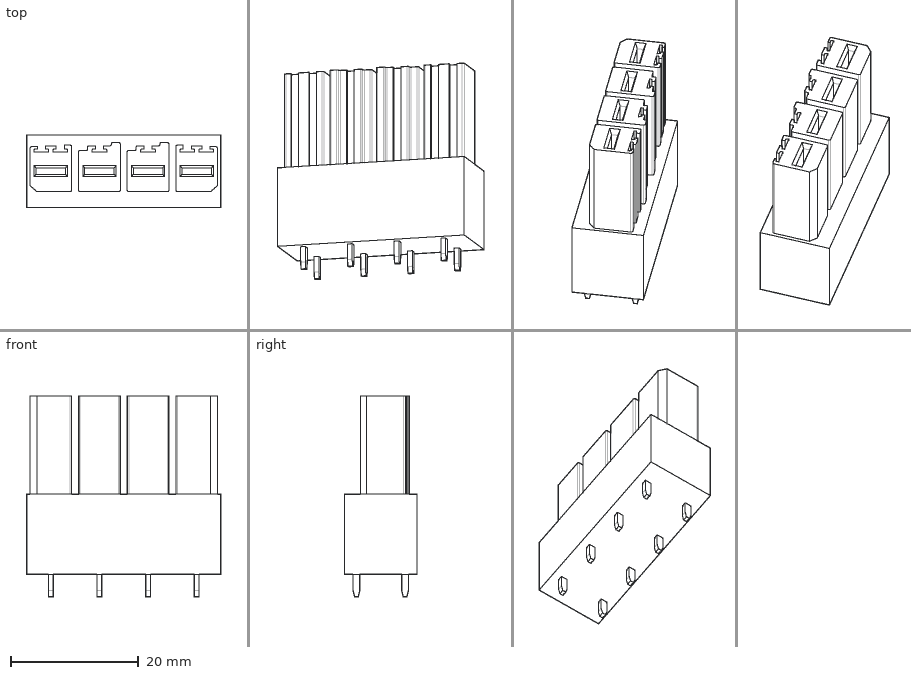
import cadquery as cq

POLE_COUNT = 4
PITCH = 7.62
BASE_LENGTH = 30.5
BASE_DEPTH = 11.4
BASE_HEIGHT = 12.6
TOTAL_HEIGHT = 31.5
PIN_LENGTH = 3.5
TOWER_HEIGHT = TOTAL_HEIGHT - BASE_HEIGHT - PIN_LENGTH

TOWER_WIDTH = 6.55
TOWER_HALF = TOWER_WIDTH / 2
TOWER_FRONT_Y = -3.18
CORNER_RADIUS = 0.25
END_OUTER_RADIUS = 0.35
STEP_RADIUS = 0.22
END_CHAMFER_X = 1.1
END_CHAMFER_Y = 0.95

END_OUTER_Y = 3.87
END_MIDDLE_Y = 4.0
END_INNER_Y = 4.1

MID_LOW_Y = 3.28
MID_MIDDLE_Y = 4.0
MID_HIGH_Y = 4.5
MID_STEP_X = 1.85

SLOT_FLOOR_Y = 3.05
SLOT_UNDERCUT_DEPTH = 0.47
SLOT_UNDERCUT_WIDTH = 2.3
SLOT_NECK_WIDTH = 1.25
SLOT_RADIUS = 0.25
END_SLOT_OFFSET = 1.48

SOCKET_LENGTH = 4.63
SOCKET_WIDTH = 1.0
SOCKET_CENTER_Y = 0.03
SOCKET_DEPTH = TOWER_HEIGHT
MOUTH_END_FLARE = 0.28
MOUTH_SIDE_FLARE = 0.35
MOUTH_DEPTH = 1.0

PIN_THICKNESS = 0.8
PIN_WIDTH = 1.1
PIN_TIP_WIDTH = 0.6
PIN_TIP_LENGTH = 1.0
PIN_ROW_PITCH = PITCH

TOP_Z = BASE_HEIGHT + TOWER_HEIGHT
POLE_POSITIONS = [(i - (POLE_COUNT - 1) / 2) * PITCH for i in range(POLE_COUNT)]


def extrude_tower(outline):
    """Solid tower of full height standing on the housing base."""
    base_top = cq.Workplane("XY").workplane(offset=BASE_HEIGHT)
    return base_top.polyline(outline).close().extrude(TOWER_HEIGHT)


def coding_slot(x):
    """Cutter for a T-shaped slot, open to the back, over the full height of a tower."""
    base_top = cq.Workplane("XY").workplane(offset=BASE_HEIGHT)
    undercut = (
        base_top.center(x, SLOT_FLOOR_Y + SLOT_UNDERCUT_DEPTH / 2)
        .rect(SLOT_UNDERCUT_WIDTH, SLOT_UNDERCUT_DEPTH)
        .extrude(TOWER_HEIGHT)
        .edges("|Z and >Y")
        .fillet(SLOT_RADIUS)
    )
    neck_depth = MID_HIGH_Y - SLOT_FLOOR_Y
    neck = (
        base_top.center(x, SLOT_FLOOR_Y + neck_depth / 2)
        .rect(SLOT_NECK_WIDTH, neck_depth)
        .extrude(TOWER_HEIGHT)
    )
    return undercut.union(neck)


def end_tower():
    """Left end tower: chamfered outer front edge and two coding slots."""
    outline = [
        (-TOWER_HALF, TOWER_FRONT_Y + END_CHAMFER_Y),
        (-TOWER_HALF + END_CHAMFER_X, TOWER_FRONT_Y),
        (TOWER_HALF, TOWER_FRONT_Y),
        (TOWER_HALF, END_INNER_Y),
        (END_SLOT_OFFSET, END_INNER_Y),
        (END_SLOT_OFFSET, END_MIDDLE_Y),
        (-END_SLOT_OFFSET, END_MIDDLE_Y),
        (-END_SLOT_OFFSET, END_OUTER_Y),
        (-TOWER_HALF, END_OUTER_Y),
    ]
    tower = extrude_tower(outline)
    tower = tower.edges("|Z and >X").fillet(CORNER_RADIUS)
    tower = tower.edges("|Z and <X").edges(">Y").fillet(END_OUTER_RADIUS)
    for x in (-END_SLOT_OFFSET, END_SLOT_OFFSET):
        tower = tower.cut(coding_slot(x))
    return tower


def middle_tower():
    """Middle tower: stepped back with rounded upright edges and one coding slot."""
    outline = [
        (-TOWER_HALF, TOWER_FRONT_Y),
        (TOWER_HALF, TOWER_FRONT_Y),
        (TOWER_HALF, MID_HIGH_Y),
        (MID_STEP_X, MID_HIGH_Y),
        (MID_STEP_X, MID_MIDDLE_Y),
        (-MID_STEP_X, MID_MIDDLE_Y),
        (-MID_STEP_X, MID_LOW_Y),
        (-TOWER_HALF, MID_LOW_Y),
    ]
    step_reach = MID_STEP_X + STEP_RADIUS
    step_zone = cq.selectors.BoxSelector(
        (-step_reach, 0, BASE_HEIGHT),
        (step_reach, MID_HIGH_Y + STEP_RADIUS, TOP_Z),
    )
    tower = extrude_tower(outline)
    tower = tower.edges("|Z").edges(step_zone).fillet(STEP_RADIUS)
    tower = tower.edges("|Z").edges("<X or >X").fillet(CORNER_RADIUS)
    return tower.cut(coding_slot(0))


def socket(x):
    """Cutter for a rectangular blind hole from the tower top, flared at the mouth."""
    top = cq.Workplane("XY").workplane(offset=TOP_Z).center(x, SOCKET_CENTER_Y)
    hole = top.rect(SOCKET_LENGTH, SOCKET_WIDTH).extrude(-SOCKET_DEPTH)
    mouth = (
        top.rect(SOCKET_LENGTH + 2 * MOUTH_END_FLARE, SOCKET_WIDTH + 2 * MOUTH_SIDE_FLARE)
        .workplane(offset=-MOUTH_DEPTH)
        .rect(SOCKET_LENGTH, SOCKET_WIDTH)
        .loft(ruled=True)
    )
    return hole.union(mouth)


def make_housing():
    housing = cq.Workplane("XY").box(
        BASE_LENGTH, BASE_DEPTH, BASE_HEIGHT, centered=(True, True, False)
    )
    left_end = end_tower()
    right_end = left_end.mirror("YZ")
    middle = middle_tower()
    towers = [left_end] + [middle] * (POLE_COUNT - 2) + [right_end]
    for x, tower in zip(POLE_POSITIONS, towers):
        housing = housing.union(tower.translate((x, 0, 0)))
    for x in POLE_POSITIONS:
        housing = housing.cut(socket(x))
    return housing


def make_pin(x, y):
    """Flat solder pin below the housing, with a tip that narrows front to back."""
    shoulder_z = PIN_TIP_LENGTH - PIN_LENGTH
    outline = [
        (-PIN_WIDTH / 2, 0),
        (-PIN_WIDTH / 2, shoulder_z),
        (-PIN_TIP_WIDTH / 2, -PIN_LENGTH),
        (PIN_TIP_WIDTH / 2, -PIN_LENGTH),
        (PIN_WIDTH / 2, shoulder_z),
        (PIN_WIDTH / 2, 0),
    ]
    pin = cq.Workplane("YZ").polyline(outline).close().extrude(PIN_THICKNESS / 2, both=True)
    return pin.translate((x, y, 0))


housing = make_housing()
pins = [
    make_pin(x, y)
    for x in POLE_POSITIONS
    for y in (-PIN_ROW_PITCH / 2, PIN_ROW_PITCH / 2)
]

result = cq.Compound.makeCompound([housing.val(), *[pin.val() for pin in pins]])